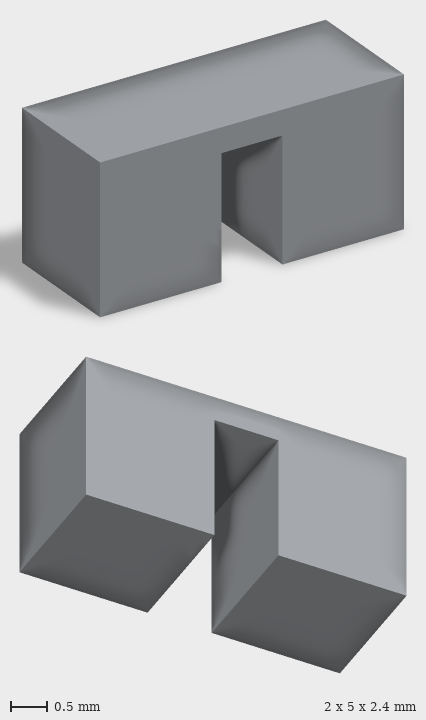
import cadquery as cq

length = 5.0
block_side = 2.0
plate_thickness = 0.4

block_offset = (length - block_side) / 2


def make_block(center_y):
    """Cubic support block standing on the base plane."""
    return (
        cq.Workplane("XY")
        .center(0, center_y)
        .box(block_side, block_side, block_side, centered=(True, True, False))
    )


def make_plate():
    """Flat plate that bridges the tops of both blocks."""
    return (
        cq.Workplane("XY")
        .workplane(offset=block_side)
        .box(block_side, length, plate_thickness, centered=(True, True, False))
    )


plate = make_plate()
blocks = [make_block(side * block_offset) for side in (-1, 1)]

result = cq.Compound.makeCompound([plate.val(), *[block.val() for block in blocks]])